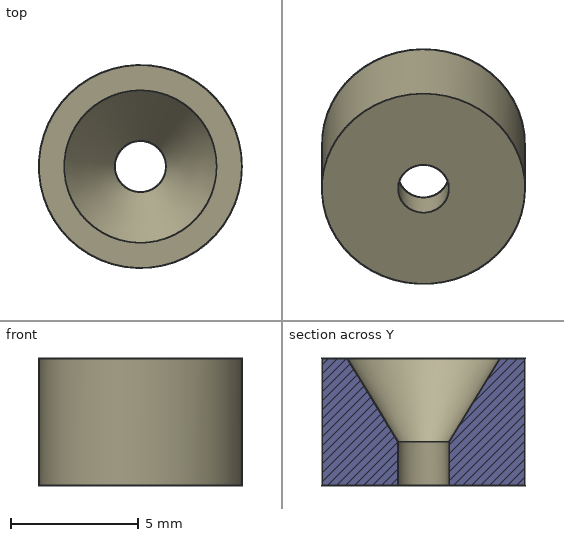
import cadquery as cq

outer_diameter = 8.0
height = 5.0
bore_diameter = 2.0
mouth_diameter = 6.0
cone_depth = 3.28

outer_radius = outer_diameter / 2
bore_radius = bore_diameter / 2
mouth_radius = mouth_diameter / 2

half_section = (
    cq.Workplane("XZ")
    .moveTo(bore_radius, 0)
    .lineTo(outer_radius, 0)
    .lineTo(outer_radius, height)
    .lineTo(mouth_radius, height)
    .lineTo(bore_radius, height - cone_depth)
    .close()
)

result = half_section.revolve(360, (0, 0, 0), (0, 1, 0))